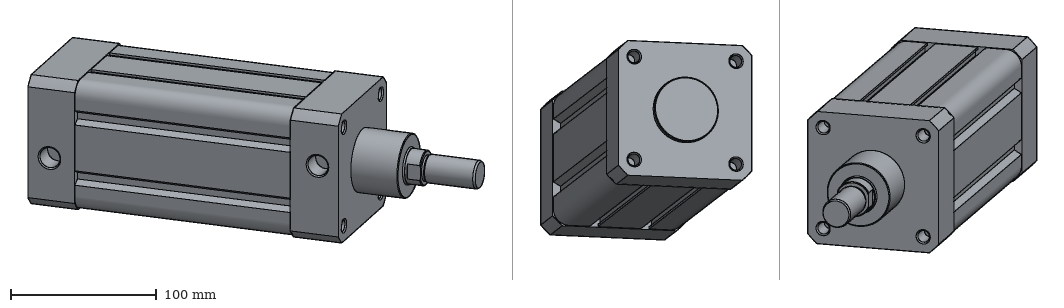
import cadquery as cq

overall_length = 318.0
rear_boss_length = 4.0
rear_cap_end = 38.5
front_cap_start = 196.5
front_cap_end = 231.8
collar_end = 266.2
wiper_lip_length = 1.3
flats_start = 269.0
rod_shoulder = 278.5
neck_end = 280.0

cap_size = 94.0
cap_corner_radius = 62.0
boss_radius = 22.5
boss_chamfer = 0.5
wiper_lip_base_radius = 13.5
wiper_lip_tip_radius = 12.7

mount_spacing = 72.0
mount_radius = 4.0
mount_depth = 16.0
mount_countersink = 1.0

port_radius = 7.3
port_depth = 16.0
port_countersink = 1.0
port_height = 9.5
rear_port_x = 20.0
front_port_x = 216.5

barrel_size = 93.2
barrel_corner_radius = 10.8
side_groove_center = 22.0
side_groove_width = 10.5
side_groove_floor = 4.8
side_groove_depth = 5.0
t_slot_center = 18.0
t_slot_mouth = 5.7
t_slot_lip = 1.5
t_slot_width = 9.0
t_slot_depth = 6.0

rod_radius = 12.5
rod_shoulder_chamfer = 0.5
rod_flat_distance = 22.3
neck_radius = 9.2
thread_radius = 10.02
thread_start_chamfer = 1.0
thread_end_chamfer_length = 1.5

barrel_length = front_cap_start - rear_cap_end


def disc(start, radius, length, direction=1):
    """Cylinder on the axis, growing along +X or -X from the given station."""
    return cq.Workplane("YZ", origin=(start, 0, 0)).circle(radius).extrude(direction * length)


def countersunk_hole(mouth, direction, radius, depth, countersink):
    """Cutter for a flat-bottomed hole with a 45 degree countersink at its mouth."""
    bore = cq.Solid.makeCylinder(radius, depth, mouth, direction)
    cone = cq.Solid.makeCone(radius + countersink, radius, countersink, mouth, direction)
    return cq.Workplane(bore).union(cq.Workplane(cone))


def cap_block(start, end):
    """Square block whose corners are turned to a circle about the axis."""
    length = end - start
    block = cq.Workplane("YZ", origin=(start, 0, 0)).rect(cap_size, cap_size).extrude(length)
    return block.intersect(disc(start, cap_corner_radius, length))


def cut_mount_holes(cap, face_x, inward):
    """Cut the four mounting holes into the outer end face of a cap."""
    offset = mount_spacing / 2
    direction = cq.Vector(inward, 0, 0)
    for y in (-offset, offset):
        for z in (-offset, offset):
            mouth = cq.Vector(face_x, y, z)
            cap = cap.cut(countersunk_hole(mouth, direction, mount_radius, mount_depth, mount_countersink))
    return cap


def cut_port(cap, x, z):
    """Cut the air port into the -Y side of a cap."""
    mouth = cq.Vector(x, -cap_size / 2, z)
    return cap.cut(countersunk_hole(mouth, cq.Vector(0, 1, 0), port_radius, port_depth, port_countersink))


def make_rear_cap():
    boss = disc(rear_boss_length, boss_radius, rear_boss_length, -1).faces("<X").chamfer(boss_chamfer)
    cap = cap_block(rear_boss_length, rear_cap_end).union(boss)
    cap = cut_mount_holes(cap, rear_boss_length, 1)
    return cut_port(cap, rear_port_x, -port_height)


def make_front_cap():
    collar = disc(front_cap_end, boss_radius, collar_end - front_cap_end).faces(">X").chamfer(boss_chamfer)
    wiper_lip = cq.Solid.makeCone(
        wiper_lip_base_radius,
        wiper_lip_tip_radius,
        wiper_lip_length,
        cq.Vector(collar_end, 0, 0),
        cq.Vector(1, 0, 0),
    )
    cap = cap_block(front_cap_start, front_cap_end).union(collar).union(cq.Workplane(wiper_lip))
    cap = cut_mount_holes(cap, front_cap_end, -1)
    cap = cut_port(cap, front_port_x, port_height)
    return cap.cut(disc(front_cap_start, rod_radius, overall_length))


def groove(half_profile, center):
    """Cutter along the +Z side of the barrel, mirrored about its own center plane.

    The half profile lists (distance from the center plane, depth below the side).
    """
    surface = barrel_size / 2
    left = [(center - across, surface - depth) for across, depth in half_profile]
    right = [(center + across, surface - depth) for across, depth in reversed(half_profile)]
    return cq.Workplane("YZ", origin=(rear_cap_end, 0, 0)).polyline(left + right).close().extrude(barrel_length)


def make_barrel():
    barrel = (
        cq.Workplane("YZ", origin=(rear_cap_end, 0, 0))
        .rect(barrel_size, barrel_size)
        .extrude(barrel_length)
        .edges("|X")
        .fillet(barrel_corner_radius)
    )
    side_groove_profile = [
        (side_groove_width / 2, 0),
        (side_groove_floor / 2, side_groove_depth),
    ]
    t_slot_profile = [
        (t_slot_mouth / 2, 0),
        (t_slot_mouth / 2, t_slot_lip),
        (t_slot_width / 2, t_slot_lip),
        (t_slot_width / 2, t_slot_depth),
    ]
    for side in (-1, 1):
        t_slot = groove(t_slot_profile, side * t_slot_center)
        side_groove = groove(side_groove_profile, side * side_groove_center)
        for half_turn in (0, 180):
            barrel = barrel.cut(t_slot.rotate((0, 0, 0), (1, 0, 0), half_turn))
            barrel = barrel.cut(side_groove.rotate((0, 0, 0), (1, 0, 0), half_turn + 90))
    return barrel


def make_rod():
    profile = [
        (front_cap_start, 0),
        (front_cap_start, rod_radius),
        (rod_shoulder - rod_shoulder_chamfer, rod_radius),
        (rod_shoulder, rod_radius - rod_shoulder_chamfer),
        (rod_shoulder, neck_radius),
        (neck_end, neck_radius),
        (neck_end + thread_start_chamfer, thread_radius),
        (overall_length - thread_end_chamfer_length, thread_radius),
        (overall_length, neck_radius),
        (overall_length, 0),
    ]
    rod = cq.Workplane("XY").polyline(profile).close().revolve(360, (0, 0, 0), (1, 0, 0))

    flats_length = rod_shoulder - flats_start
    cutter_depth = rod_radius
    for side in (-1, 1):
        cutter = cq.Workplane("XY").box(flats_length, cutter_depth, 2 * rod_radius)
        cutter_y = side * (rod_flat_distance + cutter_depth) / 2
        rod = rod.cut(cutter.translate((flats_start + flats_length / 2, cutter_y, 0)))
    return rod


rear_cap = make_rear_cap()
barrel = make_barrel()
front_cap = make_front_cap()
rod = make_rod()

result = cq.Compound.makeCompound([rear_cap.val(), barrel.val(), front_cap.val(), rod.val()])